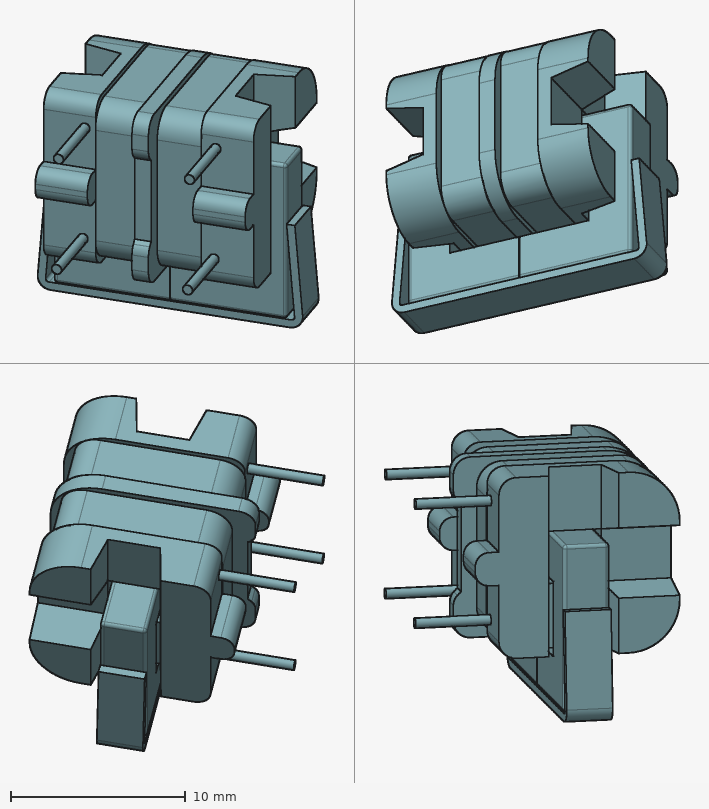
import cadquery as cq
import math


LEG = 2.7
CORE_HALF_X = 7.09
WINDOW_HEIGHT = 4.4
CORE_FILLET = 0.21
AIR_GAP = 0.05
CORE_TOP = LEG / 2
CORE_BOTTOM = CORE_TOP - 2 * LEG - WINDOW_HEIGHT

BOBBIN_HALF_X = 6.4
FLANGE_INNER_X = 3.21
MIDDLE_FLANGE = 1.0
FLANGE_HALF_Z = 5.3
FLANGE_REAR_Y = 5.64
FLANGE_FRONT_Y = -4.95
NOSE_Y = -6.35
REAR_RADIUS = 3.0
FRONT_RADIUS = 1.0
HOLE = 3.07
NOTCH_FLOOR_X = 4.05
NOTCH_MOUTH = 4.1
TUBE_OUTER = HOLE + 2 * (NOTCH_FLOOR_X - FLANGE_INNER_X)
RIB_HEIGHT = 1.95
RIB_RADIUS = 0.8
RECESS_Y = -5.9
RECESS_HALF_Z = 2.57
RECESS_RADIUS = 0.8

WINDING = 10.0
WINDING_RADIUS = 1.5
WINDING_CLEARANCE = 0.05

PIN_DIAMETER = 0.6
PIN_END_Y = -9.37
PIN_X = 3.99
PIN_Z = 3.5
UPPER_PIN_SHIFT = 0.11

CLIP_THICKNESS = 0.5
CLIP_HALF_X = 8.08
CLIP_TOP = -2.42
CLIP_LEAN = 4.8
CLIP_OUTER_RADIUS = 0.79
CLIP_INNER_RADIUS = 0.2
CLIP_BOTTOM = CORE_BOTTOM - CLIP_THICKNESS


def box(x0, x1, y0, y1, z0, z1):
    """A block between two corners."""
    return cq.Workplane("XY").box(x1 - x0, y1 - y0, z1 - z0, centered=False).translate((x0, y0, z0))


def make_core():
    core = box(-CORE_HALF_X, CORE_HALF_X, -LEG / 2, LEG / 2, CORE_BOTTOM, CORE_TOP)
    core = core.edges().fillet(CORE_FILLET)
    window_half_x = CORE_HALF_X - LEG
    window = box(-window_half_x, window_half_x, -LEG, LEG, CORE_BOTTOM + LEG, -LEG / 2)
    gap = box(-AIR_GAP / 2, AIR_GAP / 2, -LEG, LEG, CORE_BOTTOM, -LEG / 2)
    return core.cut(window).cut(gap)


def make_flange_blank(x0, x1, front_y):
    """A flange with large rear corners and smaller front corners."""
    flange = box(x0, x1, front_y, FLANGE_REAR_Y, -FLANGE_HALF_Z, FLANGE_HALF_Z)
    flange = flange.edges("|X and >Y").fillet(REAR_RADIUS)
    return flange.edges("|X and <Y").fillet(FRONT_RADIUS)


def make_notch(length):
    """A wedge along +Y that opens from the hole width at the notch floor to the outer face."""
    outline = [
        (NOTCH_FLOOR_X, -HOLE / 2),
        (BOBBIN_HALF_X, -NOTCH_MOUTH / 2),
        (BOBBIN_HALF_X, NOTCH_MOUTH / 2),
        (NOTCH_FLOOR_X, HOLE / 2),
    ]
    return cq.Workplane("XZ").polyline(outline).close().extrude(-length)


def make_end_flange():
    """The flange at +X, with its stand-off rib and its notches for the core."""
    flange = make_flange_blank(FLANGE_INNER_X, BOBBIN_HALF_X, FLANGE_FRONT_Y)
    rib = box(FLANGE_INNER_X, BOBBIN_HALF_X, NOSE_Y, FLANGE_FRONT_Y, -RIB_HEIGHT / 2, RIB_HEIGHT / 2)
    rib = rib.edges("|X and <Y").fillet(RIB_RADIUS)
    rear_notch = make_notch(FLANGE_REAR_Y)
    half_cross_notch = make_notch(FLANGE_HALF_Z)
    flange = flange.union(rib).cut(rear_notch)
    for turn in (90, -90):
        flange = flange.cut(half_cross_notch.rotate((0, 0, 0), (1, 0, 0), turn))
    return flange


def make_middle_flange():
    """The thin flange, its front edge recessed between two rounded tabs."""
    half_x = MIDDLE_FLANGE / 2
    flange = make_flange_blank(-half_x, half_x, NOSE_Y)
    mouth_half_z = RECESS_HALF_Z + RECESS_Y - NOSE_Y
    outline = [
        (RECESS_Y, -RECESS_HALF_Z),
        (NOSE_Y, -mouth_half_z),
        (NOSE_Y, mouth_half_z),
        (RECESS_Y, RECESS_HALF_Z),
    ]
    recess = cq.Workplane("YZ").polyline(outline).close().extrude(half_x, both=True)
    flange = flange.cut(recess)
    for side in (-1, 1):
        corner = cq.selectors.NearestToPointSelector((0, NOSE_Y, side * mouth_half_z))
        flange = flange.edges("|X").edges(corner).fillet(RECESS_RADIUS)
    return flange


def make_bobbin():
    tube_half = TUBE_OUTER / 2
    tube = box(-FLANGE_INNER_X, FLANGE_INNER_X, -tube_half, tube_half, -tube_half, tube_half)
    end_flange = make_end_flange()
    bobbin = tube.union(end_flange).union(end_flange.mirror("YZ")).union(make_middle_flange())
    hole_half = HOLE / 2
    hole = box(-BOBBIN_HALF_X, BOBBIN_HALF_X, -hole_half, hole_half, -hole_half, hole_half)
    return bobbin.cut(hole)


def make_winding(x0, x1):
    winding = cq.Workplane("YZ", origin=(x0, 0, 0)).rect(WINDING, WINDING).extrude(x1 - x0)
    winding = winding.edges("|X").fillet(WINDING_RADIUS)
    tube_space = cq.Workplane("YZ", origin=(x0, 0, 0)).rect(TUBE_OUTER, TUBE_OUTER).extrude(x1 - x0)
    return winding.cut(tube_space)


def make_pin(x, z):
    pin = cq.Workplane("XZ", origin=(x, FLANGE_FRONT_Y, z)).circle(PIN_DIAMETER / 2)
    return pin.extrude(FLANGE_FRONT_Y - PIN_END_Y)


def make_clip_bar(corner_x, bottom, radius, width):
    """A solid bar with the clip's leaning sides and rounded lower corners."""
    top_x = corner_x - (CLIP_TOP - bottom) * math.tan(math.radians(CLIP_LEAN))
    outline = [(-corner_x, bottom), (corner_x, bottom), (top_x, CLIP_TOP), (-top_x, CLIP_TOP)]
    bar = cq.Workplane("XZ").polyline(outline).close().extrude(width / 2, both=True)
    return bar.edges("|Y and <Z").fillet(radius)


def make_clip():
    half_bend = math.radians((90 - CLIP_LEAN) / 2)
    outer_corner_x = CLIP_HALF_X - CLIP_OUTER_RADIUS + CLIP_OUTER_RADIUS / math.tan(half_bend)
    inner_corner_x = outer_corner_x - CLIP_THICKNESS / math.tan(half_bend)
    outside = make_clip_bar(outer_corner_x, CLIP_BOTTOM, CLIP_OUTER_RADIUS, LEG)
    inside = make_clip_bar(inner_corner_x, CORE_BOTTOM, CLIP_INNER_RADIUS, 2 * LEG)
    return outside.cut(inside)


core = make_core()
bobbin = make_bobbin()
clip = make_clip()
winding_inner_x = MIDDLE_FLANGE / 2 + WINDING_CLEARANCE
windings = [
    make_winding(-FLANGE_INNER_X, -winding_inner_x),
    make_winding(winding_inner_x, FLANGE_INNER_X),
]
pins = [make_pin(side * PIN_X, -PIN_Z) for side in (-1, 1)]
pins += [make_pin(side * PIN_X + UPPER_PIN_SHIFT, PIN_Z) for side in (-1, 1)]

result = cq.Compound.makeCompound(
    [core.val(), bobbin.val(), clip.val()]
    + [winding.val() for winding in windings]
    + [pin.val() for pin in pins]
)